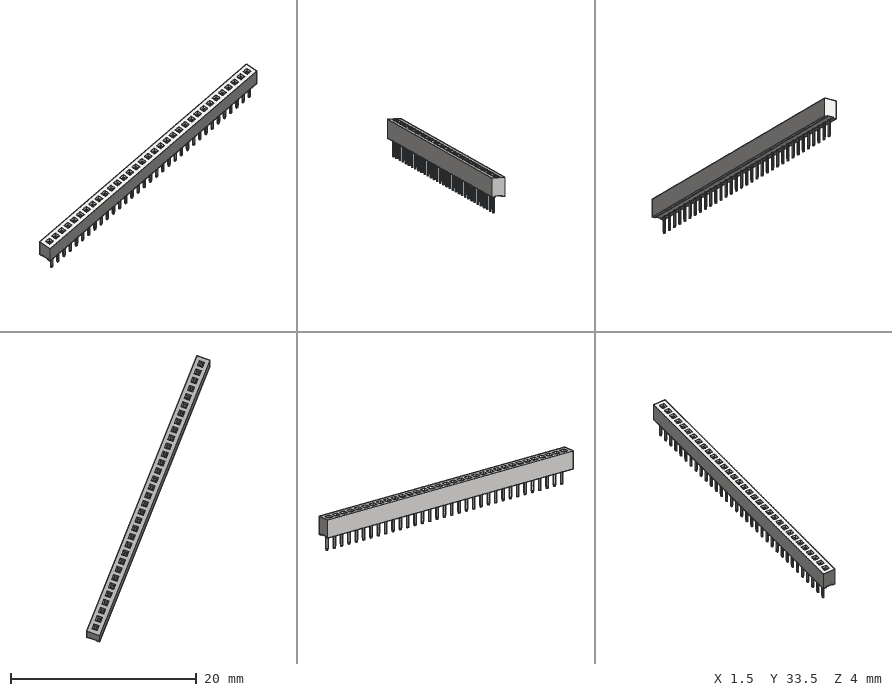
import cadquery as cq

CONTACT_COUNT = 33
PITCH = 1.0
HOUSING_WIDTH = 1.5
HOUSING_LENGTH = 33.5
HOUSING_HEIGHT = 2.1
TOTAL_HEIGHT = 4.0

GROOVE_WIDTH = HOUSING_WIDTH / 2
GROOVE_DEPTH = 0.1

PIN_OFFSET_X = 0.325
PIN_THICKNESS = 0.12
PIN_WIDTH = 0.3
PIN_TIP_WIDTH = 0.2
PIN_TAPER_LENGTH = 0.3
PIN_LENGTH = TOTAL_HEIGHT - HOUSING_HEIGHT

MOUTH_SIZE = 0.6
LEAD_IN = 0.15
THROAT_SIZE = MOUTH_SIZE - 2 * LEAD_IN
SOCKET_DEPTH = 1.5


def make_housing():
    """Rectangular bar with the groove cut along its underside."""
    bar = cq.Workplane("XY").box(
        HOUSING_WIDTH, HOUSING_LENGTH, HOUSING_HEIGHT, centered=(True, True, False)
    )
    groove = cq.Workplane("XY").box(
        GROOVE_WIDTH, HOUSING_LENGTH, GROOVE_DEPTH, centered=(True, True, False)
    )
    return bar.cut(groove)


def make_socket():
    """Cavity of one contact, with its mouth at the top of the housing."""
    funnel = (
        cq.Workplane("XY", origin=(0, 0, HOUSING_HEIGHT))
        .rect(MOUTH_SIZE, MOUTH_SIZE)
        .workplane(offset=-LEAD_IN)
        .rect(THROAT_SIZE, THROAT_SIZE)
        .loft(ruled=True)
    )
    hole = (
        cq.Workplane("XY", origin=(0, 0, HOUSING_HEIGHT - LEAD_IN))
        .rect(THROAT_SIZE, THROAT_SIZE)
        .extrude(LEAD_IN - SOCKET_DEPTH)
    )
    return funnel.union(hole)


def make_pin():
    """Pin of one contact, hanging from the ceiling of the groove."""
    taper_start_z = PIN_TAPER_LENGTH - PIN_LENGTH
    outline = [
        (-PIN_WIDTH / 2, GROOVE_DEPTH),
        (-PIN_WIDTH / 2, taper_start_z),
        (-PIN_TIP_WIDTH / 2, -PIN_LENGTH),
        (PIN_TIP_WIDTH / 2, -PIN_LENGTH),
        (PIN_WIDTH / 2, taper_start_z),
        (PIN_WIDTH / 2, GROOVE_DEPTH),
    ]
    return (
        cq.Workplane("YZ", origin=(PIN_OFFSET_X - PIN_THICKNESS / 2, 0, 0))
        .polyline(outline)
        .close()
        .extrude(PIN_THICKNESS)
    )


def at_contacts(feature):
    """Copies of a feature at every contact position along the row."""
    shape = feature.val()
    return (
        cq.Workplane("XY")
        .rarray(1, PITCH, 1, CONTACT_COUNT)
        .eachpoint(lambda place: shape.located(place))
        .combine()
    )


result = make_housing()
result = result.cut(at_contacts(make_socket()))
result = result.union(at_contacts(make_pin()))